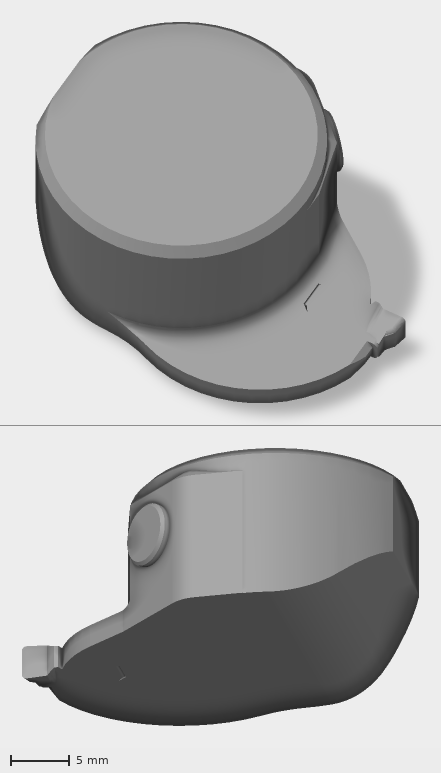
import cadquery as cq
import math


drum_radius = 12.5
drum_height = 13.8
drum_chamfer = 0.8
flat_x = -11.5
flat_bottom_z = 6.0
undercut_radius = 8.0

flange_thickness = 2.0
root_fillet = 0.8
lobe_center = (8.82, -1.65)
lobe_radius = 12.5
nose_x = 21.02
nose_chamfer = 0.55
shoulder_center = (9.55, -3.82)
shoulder_radius = 10.0
shoulder_angle = 55.0

bulge_y = 12.57
bulge_corner_radius = 3.2
bulge_chamfer = 1.0
bulge_edge_z = 11.45
bulge_side_top = (12.5, 2.1)
boss_face_distance = 12.98
boss_angle = 48.0
bulge_end_x = 11.05

boss_diameter = 5.5
boss_height = 0.8
boss_chamfer = 0.27
boss_z = 7.45

pocket_back_x = 13.8
pocket_taper_y = -0.2
pocket_taper_x = 15.85
pocket_top_y = 0.2
pocket_bottom_y = -3.28
pocket_corner_x = 14.55
pocket_corner_y = -2.67
insert_corner_gap = 0.3
insert_front_x = 21.5
back_fillet = 0.3
front_fillet = 0.45
edge_x = 22.3
edge_y = 0.1
relief_x = 22.15
relief_y = -1.3
heel_y = -2.15
spur_foot_x = 18.75
spur_top = (18.95, 19.35)
spur_y = 0.7
spur_end_x = 20.08

land_half = 1.42
land_rise = 0.05
land_fall = 0.168
ramp_foot_x = 19.23
ramp_bend_x = 19.75
ramp_top_x = 20.08
ramp_bend_share = 0.4
ramp_skew = 0.087
foot_sink = 0.07
tip_fillet = 0.4
tip_end_y = -3.0

mid_z = flange_thickness / 2
axis_x = math.cos(math.radians(boss_angle))
axis_y = math.sin(math.radians(boss_angle))


def point_on(center, radius, degrees):
    angle = math.radians(degrees)
    return (center[0] + radius * math.cos(angle), center[1] + radius * math.sin(angle))


def face_y(x):
    """Y of the flat boss face at a given X."""
    return (boss_face_distance - x * axis_x) / axis_y


bulge_end = (bulge_end_x, face_y(bulge_end_x))


def make_drum():
    return (
        cq.Workplane("XY").circle(drum_radius).extrude(drum_height)
        .faces(">Z").edges().chamfer(drum_chamfer)
    )


def make_bulge():
    corner_y = bulge_y - bulge_corner_radius
    corner_x = (boss_face_distance - bulge_corner_radius - corner_y * axis_y) / axis_x
    corner = (corner_x, corner_y)
    outline = (
        cq.Workplane("XY").moveTo(0, 0).lineTo(0, bulge_y).lineTo(corner_x, bulge_y)
        .threePointArc(
            point_on(corner, bulge_corner_radius, (90 + boss_angle) / 2),
            point_on(corner, bulge_corner_radius, boss_angle),
        )
        .lineTo(*bulge_end).lineTo(*bulge_side_top).lineTo(drum_radius, 0).close()
    )
    return outline.extrude(bulge_edge_z + bulge_chamfer).faces(">Z").edges().chamfer(bulge_chamfer)


def make_flange_prism(height):
    """Plan outline of the flange, from the drum center to the nose."""
    blend_center = (0, -drum_radius - lobe_radius)
    blend_end = ((blend_center[0] + lobe_center[0]) / 2, (blend_center[1] + lobe_center[1]) / 2)
    blend_turn = math.degrees(math.atan2(blend_end[0], blend_end[1] - blend_center[1]))
    nose_angle = -math.degrees(math.acos((nose_x - lobe_center[0]) / lobe_radius))
    lobe_start_angle = 270 - blend_turn - 360
    shoulder_start = point_on(shoulder_center, shoulder_radius, shoulder_angle)
    shoulder_slope = -1 / math.tan(math.radians(shoulder_angle))
    shoulder_offset = shoulder_start[1] - shoulder_slope * shoulder_start[0]
    meet_x = (boss_face_distance - axis_y * shoulder_offset) / (axis_x + axis_y * shoulder_slope)
    shoulder_end_angle = math.degrees(math.asin((pocket_top_y - shoulder_center[1]) / shoulder_radius))
    return (
        cq.Workplane("XY").moveTo(0, 0).lineTo(0, -drum_radius)
        .threePointArc(point_on(blend_center, lobe_radius, 90 - blend_turn / 2), blend_end)
        .threePointArc(
            point_on(lobe_center, lobe_radius, (lobe_start_angle + nose_angle) / 2),
            point_on(lobe_center, lobe_radius, nose_angle),
        )
        .lineTo(nose_x, pocket_top_y)
        .lineTo(*point_on(shoulder_center, shoulder_radius, shoulder_end_angle))
        .threePointArc(
            point_on(shoulder_center, shoulder_radius, (shoulder_end_angle + shoulder_angle) / 2),
            shoulder_start,
        )
        .lineTo(meet_x, face_y(meet_x)).lineTo(*bulge_end).close()
        .extrude(height)
    )


def make_root_fillet():
    """Concave fillet swept around the foot of the drum and along the walls of the bulge."""
    overlap = 0.35
    foot = -drum_radius
    arc_center = (foot - root_fillet, flange_thickness + root_fillet)
    wall_run = (bulge_end[0] - bulge_side_top[0], bulge_end[1] - bulge_side_top[1])
    path_end = (bulge_end[0] + wall_run[0] / 2, bulge_end[1] + wall_run[1] / 2)
    path = (
        cq.Workplane("XY").moveTo(0, foot)
        .threePointArc(point_on((0, 0), drum_radius, -45), (drum_radius, 0))
        .lineTo(*bulge_side_top).lineTo(*path_end)
    )
    profile = (
        cq.Workplane("YZ").moveTo(foot + overlap, flange_thickness - overlap)
        .lineTo(arc_center[0], flange_thickness - overlap).lineTo(arc_center[0], flange_thickness)
        .threePointArc(point_on(arc_center, root_fillet, -45), (foot, arc_center[1]))
        .lineTo(foot + overlap, arc_center[1]).close()
    )
    sweep = profile.sweep(path, transition="right")
    return sweep.intersect(make_flange_prism(arc_center[1]))


def make_flange():
    """Flange with both edges of its flat nose chamfered."""
    flange = make_flange_prism(flange_thickness)
    nose_side = (
        cq.Workplane("XZ").moveTo(0, 0).lineTo(nose_x - nose_chamfer, 0)
        .lineTo(nose_x, nose_chamfer).lineTo(nose_x, flange_thickness - nose_chamfer)
        .lineTo(nose_x - nose_chamfer, flange_thickness).lineTo(0, flange_thickness).close()
        .extrude(2 * drum_radius, both=True)
    )
    return flange.intersect(nose_side)


def make_boss():
    """Chamfered disc standing on the flat face of the bulge."""
    base = boss_face_distance - boss_height
    face = cq.Plane(
        origin=(base * axis_x, base * axis_y, boss_z), xDir=(-axis_y, axis_x, 0), normal=(axis_x, axis_y, 0)
    )
    return (
        cq.Workplane(face).circle(boss_diameter / 2).extrude(2 * boss_height)
        .faces(cq.DirectionMinMaxSelector(face.zDir)).edges().chamfer(boss_chamfer)
    )


def make_undercut():
    """Material removed at the -X side: the flat, the 45 degree slope and its round blend."""
    slope_foot_x = flat_x + flat_bottom_z
    tangent = undercut_radius * math.tan(math.radians(22.5))
    blend_center = (slope_foot_x + tangent, undercut_radius)
    blend_end = (blend_center[0], 0)
    outside_x = -2 * drum_radius
    return (
        cq.Workplane("XZ").moveTo(outside_x, drum_height).lineTo(flat_x, drum_height)
        .lineTo(flat_x, flat_bottom_z).lineTo(*point_on(blend_center, undercut_radius, 225))
        .threePointArc(point_on(blend_center, undercut_radius, 247.5), blend_end)
        .lineTo(outside_x, 0).close()
        .extrude(2 * drum_radius, both=True)
    )


def make_pocket():
    outside_x = edge_x + 0.35
    points = [
        (pocket_back_x, pocket_taper_y),
        (pocket_taper_x, pocket_top_y),
        (outside_x, pocket_top_y),
        (outside_x, pocket_bottom_y),
        (pocket_corner_x, pocket_bottom_y),
        (pocket_back_x, pocket_corner_y),
    ]
    return cq.Workplane("XY").polyline(points).close().extrude(flange_thickness)


def make_holder():
    body = make_drum().union(make_bulge()).union(make_flange())
    body = body.union(make_root_fillet()).union(make_boss())
    return body.cut(make_undercut()).cut(make_pocket())


def insert_outline():
    return cq.Workplane("XY").polyline([
        (pocket_back_x, pocket_taper_y),
        (pocket_taper_x, pocket_top_y),
        (spur_foot_x, pocket_top_y),
        (spur_top[0], spur_y),
        (spur_top[1], spur_y),
        (spur_end_x, edge_y),
        (edge_x, edge_y),
        (relief_x, relief_y),
        (insert_front_x, heel_y),
        (insert_front_x, pocket_bottom_y),
        (pocket_corner_x, pocket_bottom_y),
        (pocket_back_x + insert_corner_gap, pocket_corner_y),
        (pocket_back_x, pocket_corner_y),
    ]).close()


def tip_section(y):
    """XZ outline of the cutting tip at a given Y: a ramp and a land that rises toward the front."""
    below_edge = edge_y - y
    skew = below_edge * ramp_skew
    front_x = edge_x + 0.35

    def land(x):
        return land_half + (x - ramp_top_x) * land_rise - below_edge * land_fall

    ramp_end = ramp_top_x + skew
    upper = [
        (ramp_foot_x + skew, mid_z - foot_sink),
        (ramp_bend_x + skew, mid_z + ramp_bend_share * (land(ramp_end) - mid_z)),
        (ramp_end, land(ramp_end)),
        (front_x, land(front_x)),
    ]
    outline = upper + [(x, -half) for x, half in reversed(upper)]
    return cq.Wire.makePolygon([cq.Vector(x, y, mid_z + z) for x, z in outline], close=True)


def make_tip():
    wedge = cq.Solid.makeLoft([tip_section(spur_y), tip_section(tip_end_y)], True)
    tip = insert_outline().extrude(drum_height, both=True).intersect(cq.Workplane(obj=wedge))
    front_edges = cq.selectors.BoxSelector(
        ((relief_x + insert_front_x) / 2 - 0.05, heel_y, -drum_height), (edge_x, edge_y - 0.05, drum_height)
    )
    return tip.edges(front_edges).edges("not |Z").fillet(tip_fillet)


def edges_at_x(x):
    """Selector for the edges whose centers lie at a given X."""
    margin = 0.05
    reach = 2 * drum_radius
    return cq.selectors.BoxSelector((x - margin, -reach, -reach), (x + margin, reach, reach))


def make_insert():
    blade = insert_outline().extrude(flange_thickness)
    blade = blade.edges(edges_at_x(pocket_back_x)).edges("|Y").fillet(back_fillet)
    blade = blade.edges(edges_at_x(insert_front_x)).edges("|Y").fillet(front_fillet)
    return blade.union(make_tip())


holder = make_holder()
insert = make_insert()
result = cq.Compound.makeCompound([holder.val(), insert.val()])